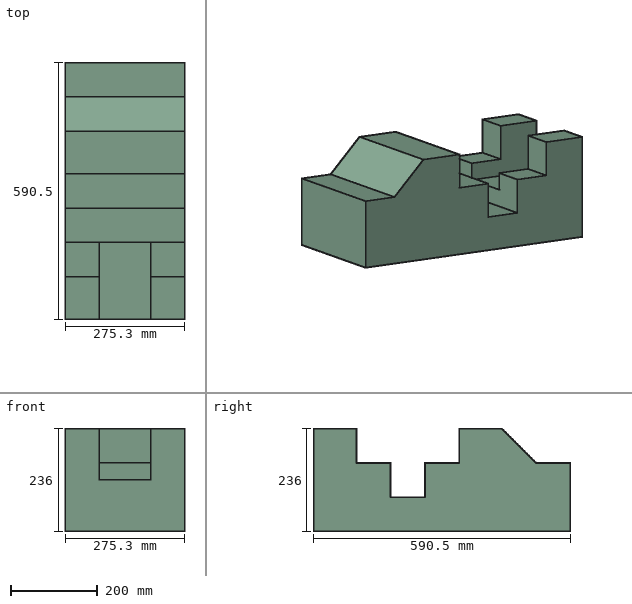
import cadquery as cq

length = 590.5
height = 236.0
slot_width = 118.0
slot_depth = 118.0

step = height / 3
width = slot_width + 2 * step
low_level = step
mid_level = 2 * step

crest_length = (length - 5 * step) / 2

post_back = crest_length
groove_front = post_back + step
groove_back = groove_front + step
crest_front = groove_back + step
crest_back = crest_front + crest_length
ramp_end = crest_back + step


def stepped_body():
    """Side profile in the YZ plane, extruded across the width."""
    profile = [
        (0, 0),
        (0, height),
        (post_back, height),
        (post_back, mid_level),
        (groove_front, mid_level),
        (groove_front, low_level),
        (groove_back, low_level),
        (groove_back, mid_level),
        (crest_front, mid_level),
        (crest_front, height),
        (crest_back, height),
        (ramp_end, mid_level),
        (length, mid_level),
        (length, 0),
    ]
    return cq.Workplane("YZ").polyline(profile).close().extrude(width)


def front_slot():
    """Central slot running from the front face into the cross groove."""
    slot = cq.Workplane("XY").box(slot_width, groove_front, slot_depth, centered=False)
    return slot.translate(((width - slot_width) / 2, 0, height - slot_depth))


result = stepped_body().cut(front_slot())